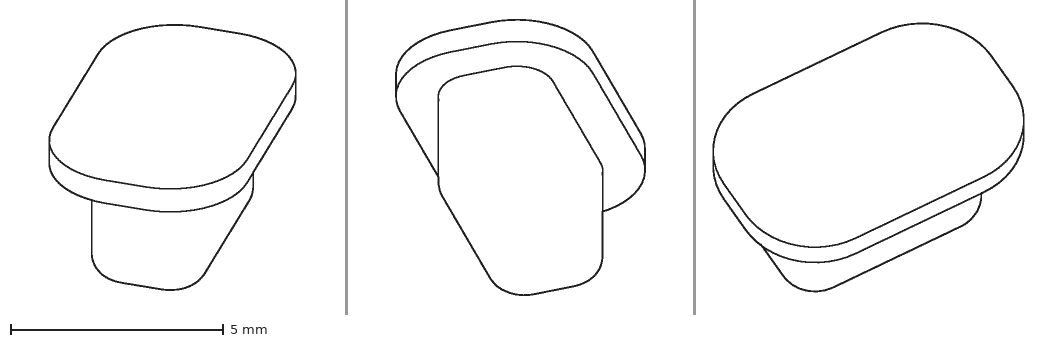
import cadquery as cq

flange_width = 4.8
flange_length = 7.3
flange_thickness = 0.635
flange_corner_radius = 1.9

total_height = 3.63
overhang = 1.0
stem_width = flange_width - 2 * overhang
stem_length = flange_length - 2 * overhang
stem_height = total_height - flange_thickness
stem_corner_radius = flange_corner_radius - overhang
bottom_edge_radius = 0.505


def rounded_block(width, length, height, corner_radius, base_z):
    """Block centred on the Z axis with its upright edges rounded."""
    block = cq.Workplane("XY").workplane(offset=base_z).rect(width, length).extrude(height)
    return block.edges("|Z").fillet(corner_radius)


stem = rounded_block(stem_width, stem_length, stem_height, stem_corner_radius, 0)
stem = stem.faces("<Z").edges().fillet(bottom_edge_radius)

flange = rounded_block(
    flange_width, flange_length, flange_thickness, flange_corner_radius, stem_height
)

result = stem.union(flange)